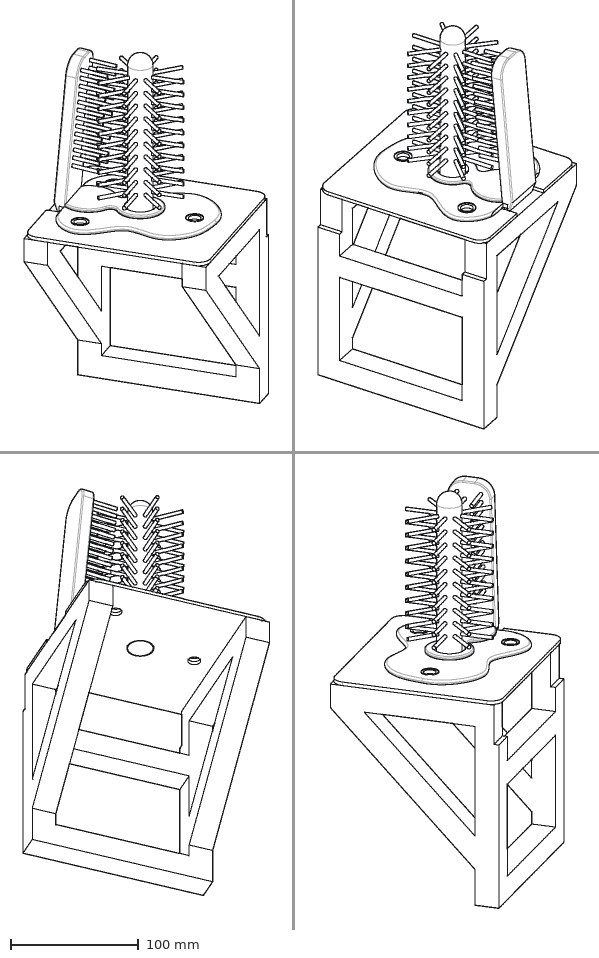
import cadquery as cq
import math


width = 152.0
depth = 140.0
bracket_height = 170.0
beam = 20.0
brace_foot = 30.2
back_step = 4.0
back_step_height = 33.0
mid_rail_bottom = 97.0

plate_thickness = 3.0
plate_corner_radius = 10.0
slot_width = 40.0
slot_length = 14.3

disc_thickness = 3.7
upper_thickness = 3.0
disc_rounding = 1.7
upper_rounding = 1.0
screw_hole_diameter = 10.0
screw_seat_diameter = 14.0
screw_seat_depth = 0.5
screw_hole_points = [(40.5, 0), (-41.0, 38.0), (-41.0, -38.0)]
upper_lobe_x = -48.0
upper_lobe_radius = 22.5
upper_ring_radius = 19.3
upper_neck_radius = 5.0
base_back_x = -62.2
tab_length = 4.0

total_height = 311.0
pillar_x = -5.0
pillar_radius = 10.0
pillar_hole_diameter = 21.0
base_hole_diameter = 25.0
pin_diameter = 3.0
pillar_pin_reach = 36.0
pillar_pin_low = 193.0
pillar_pin_high = 292.0
pillar_pin_rows = 10
pins_per_row = 8

arm_width = 36.0
arm_thickness = 10.0
arm_length = 124.5
arm_lean = 5.0
arm_corner_radius = 13.0
arm_rounding = 1.0
arm_start_x = -70.5
foot_point_width = 1.0
arm_pin_length = 22.0
arm_pin_low = 31.0
arm_pin_high = 115.0
arm_pin_rows = 13
arm_pin_y = 10.0

plate_top = bracket_height + plate_thickness
disc_top = plate_top + disc_thickness
base_top = disc_top + upper_thickness
tab_end_x = base_back_x - tab_length

lean_sin = math.sin(math.radians(arm_lean))
lean_cos = math.cos(math.radians(arm_lean))


def make_bracket():
    """Two triangular side frames joined by two rails between their posts."""
    back = depth / 2
    front = -depth / 2
    post_front = back - beam
    beam_bottom = bracket_height - beam
    brace_opening = depth - beam - math.sqrt(2) * beam
    outer = [
        (back, 0),
        (back, bracket_height - back_step_height),
        (back - back_step, bracket_height - back_step_height),
        (back - back_step, bracket_height),
        (front, bracket_height),
        (front, beam_bottom),
        (post_front, brace_foot),
        (post_front, 0),
    ]
    opening = [
        (post_front, beam_bottom),
        (post_front - brace_opening, beam_bottom),
        (post_front, beam_bottom - brace_opening),
    ]
    frame = cq.Workplane("YZ").polyline(outer).close().polyline(opening).close().extrude(beam)
    bracket = frame.translate((-width / 2, 0, 0)).union(frame.translate((width / 2 - beam, 0, 0)))
    for rail_bottom in (0, mid_rail_bottom):
        rail = cq.Workplane("XY").box(width, beam, beam, centered=(True, False, False))
        bracket = bracket.union(rail.translate((0, post_front, rail_bottom)))
    return bracket


def make_plate():
    """Rounded plate with a slot for the arm, screw holes and the pillar hole."""
    slot = cq.Workplane("XY").box(slot_length, slot_width, plate_thickness, centered=(False, True, False))
    return (
        cq.Workplane("XY")
        .box(width, depth, plate_thickness, centered=(True, True, False))
        .edges("|Z").fillet(plate_corner_radius)
        .cut(slot.translate((-width / 2, 0, 0)))
        .faces(">Z").workplane(origin=(0, 0, 0))
        .pushPoints(screw_hole_points).hole(screw_hole_diameter)
        .pushPoints([(pillar_x, 0)]).hole(pillar_hole_diameter)
        .translate((0, 0, bracket_height))
    )


def guitar_outline():
    """Smooth closed outline, symmetric about the X axis, starting at its +X tip."""
    half = [
        (58.5, 0), (50.0, 27.5), (24.0, 41.7), (-4.0, 36.0), (-20.0, 46.3),
        (-40.0, 55.0), (-57.5, 44.5), (-63.7, 0),
    ]
    other_half = [(x, -y) for x, y in reversed(half[1:-1])]
    return cq.Workplane("XY").spline(half + other_half, periodic=True).close()


def upper_outline():
    """Two circles bridged by a tangent concave neck on each side."""
    span = pillar_x - upper_lobe_x
    to_lobe = upper_lobe_radius + upper_neck_radius
    to_ring = upper_ring_radius + upper_neck_radius
    along = (span**2 + to_lobe**2 - to_ring**2) / (2 * span)
    neck_x = upper_lobe_x + along
    neck_y = math.sqrt(to_lobe**2 - along**2)
    lobe_x = upper_lobe_x + along * upper_lobe_radius / to_lobe
    lobe_y = neck_y * upper_lobe_radius / to_lobe
    ring_x = pillar_x + (neck_x - pillar_x) * upper_ring_radius / to_ring
    ring_y = neck_y * upper_ring_radius / to_ring
    waist = neck_y - upper_neck_radius
    return (
        cq.Workplane("XY")
        .moveTo(lobe_x, lobe_y)
        .threePointArc((neck_x, waist), (ring_x, ring_y))
        .threePointArc((pillar_x + upper_ring_radius, 0), (ring_x, -ring_y))
        .threePointArc((neck_x, -waist), (lobe_x, -lobe_y))
        .threePointArc((upper_lobe_x - upper_lobe_radius, 0), (lobe_x, lobe_y))
        .close()
    )


def make_base(arm):
    """Both discs as one body, cut off flat behind, with a tab under the arm."""
    lower = (
        guitar_outline().extrude(disc_thickness)
        .faces("<Z or >Z").edges().fillet(disc_rounding)
        .faces(">Z").workplane(origin=(0, 0, 0))
        .pushPoints(screw_hole_points)
        .cboreHole(screw_hole_diameter, screw_seat_diameter, screw_seat_depth)
        .translate((0, 0, plate_top))
    )
    upper = (
        upper_outline().extrude(upper_thickness)
        .faces("<Z or >Z").edges().fillet(upper_rounding)
        .translate((0, 0, disc_top))
    )
    behind = cq.Workplane("XY").box(width, depth, total_height, centered=(False, True, False))
    behind = behind.translate((base_back_x - width, 0, 0))
    pillar_hole = (
        cq.Workplane("XY").center(pillar_x, 0).circle(base_hole_diameter / 2).extrude(total_height)
    )
    tab = cq.Workplane("XY").box(
        tab_length + disc_thickness, arm_width, disc_thickness, centered=(False, True, False)
    )
    base = lower.union(upper).cut(behind).union(tab.translate((tab_end_x, 0, plate_top)))
    return base.cut(pillar_hole).cut(arm)


def make_pillar():
    """Domed pillar with rings of radial pins."""
    height = total_height - pillar_radius - bracket_height
    pillar = cq.Workplane("XY").circle(pillar_radius).extrude(height)
    pillar = pillar.union(cq.Workplane("XY").sphere(pillar_radius).translate((0, 0, height)))
    pitch = (pillar_pin_high - pillar_pin_low) / (pillar_pin_rows - 1)
    bar = (
        cq.Workplane("YZ").circle(pin_diameter / 2)
        .extrude(pillar_pin_reach, both=True)
    )
    for row in range(pillar_pin_rows):
        level = pillar_pin_low + row * pitch - bracket_height
        for turn in range(pins_per_row // 2):
            angle = turn * 360 / pins_per_row
            pillar = pillar.union(bar.rotate((0, 0, 0), (0, 0, 1), angle).translate((0, 0, level)))
    return pillar.translate((pillar_x, 0, bracket_height))


def arm_point(along, across):
    """XZ point at a distance along the arm and across its thickness."""
    x = arm_start_x + along * lean_sin + across * lean_cos
    z = base_top + along * lean_cos - across * lean_sin
    return (x, z)


def make_arm():
    """Leaning bar with a tapered foot that stands in the plate slot, and two columns of pins."""
    step_along = (disc_top - base_top + arm_thickness * lean_sin) / lean_cos
    foot_point_x = tab_end_x - foot_point_width
    profile = [
        arm_point(0, 0),
        arm_point(arm_length, 0),
        arm_point(arm_length, arm_thickness),
        arm_point(step_along, arm_thickness),
        (tab_end_x, disc_top),
        (tab_end_x, bracket_height),
        (foot_point_x, bracket_height),
    ]
    arm = cq.Workplane("XZ").polyline(profile).close().extrude(arm_width / 2, both=True)
    across = cq.Vector(lean_cos, 0, -lean_sin)
    arm = arm.edges(cq.selectors.ParallelDirSelector(across)).fillet(arm_corner_radius)

    foot_back_middle = ((arm_start_x + foot_point_x) / 2, 0, (base_top + bracket_height) / 2)
    broad_faces = arm.faces(cq.selectors.ParallelDirSelector(across)).vals()
    foot_back = arm.faces(cq.selectors.NearestToPointSelector(foot_back_middle)).vals()
    arm = arm.newObject(broad_faces + foot_back).edges("not |Y").fillet(arm_rounding)

    pitch = (arm_pin_high - arm_pin_low) / (arm_pin_rows - 1)
    for row in range(arm_pin_rows):
        x, z = arm_point(arm_pin_low + row * pitch, arm_thickness / 2)
        for y in (-arm_pin_y, arm_pin_y):
            pin = cq.Solid.makeCylinder(
                pin_diameter / 2, arm_thickness / 2 + arm_pin_length, cq.Vector(x, y, z), across
            )
            arm = arm.union(cq.Workplane(pin))
    return arm


bracket = make_bracket()
plate = make_plate()
arm = make_arm()
base = make_base(arm)
pillar = make_pillar()

result = cq.Compound.makeCompound(
    [bracket.val(), plate.val(), base.val(), pillar.val(), arm.val()]
)